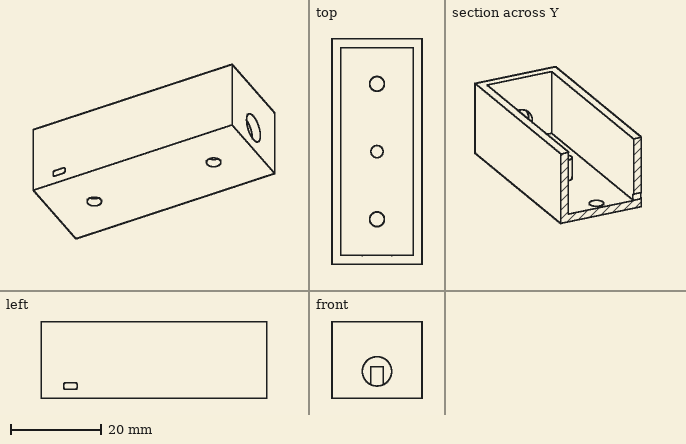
import cadquery as cq

width = 20.0
length = 50.0
height = 17.0
wall = 2.0
floor = 2.0

pin_diameter = 2.7
pin_top = 7.0

screw_hole_diameter = 3.2
screw_hole_spacing = 30.0

port_diameter = 6.5
port_height = 6.0

slot_length = 3.0
slot_height = 1.5
slot_corner_radius = 0.5
slot_end_margin = 5.0


def open_box():
    """Rectangular box, open at the top."""
    body = cq.Workplane("XY").box(width, length, height, centered=(True, True, False))
    cavity = (
        cq.Workplane("XY")
        .workplane(offset=floor)
        .rect(width - 2 * wall, length - 2 * wall)
        .extrude(height - floor)
    )
    return body.cut(cavity)


def locating_pin():
    """Pin rising from within the floor, so that it fuses with it."""
    return cq.Workplane("XY").circle(pin_diameter / 2).extrude(pin_top)


def screw_holes():
    """Two plain through holes in the floor."""
    return (
        cq.Workplane("XY")
        .rarray(1, screw_hole_spacing, 1, 2)
        .circle(screw_hole_diameter / 2)
        .extrude(floor)
    )


def end_port():
    """Round cutter spanning the -Y end wall."""
    return (
        cq.Workplane("XZ", origin=(0, -length / 2 + wall, port_height))
        .circle(port_diameter / 2)
        .extrude(wall)
    )


def side_slot():
    """Slot cutter spanning the -X side wall, with rounded corners."""
    slot_y = length / 2 - slot_end_margin - slot_length / 2
    slot_z = floor + slot_height / 2
    return (
        cq.Workplane("XY")
        .box(wall, slot_length, slot_height)
        .edges("|X")
        .fillet(slot_corner_radius)
        .translate((-width / 2 + wall / 2, slot_y, slot_z))
    )


result = (
    open_box()
    .union(locating_pin())
    .cut(screw_holes())
    .cut(end_port())
    .cut(side_slot())
)